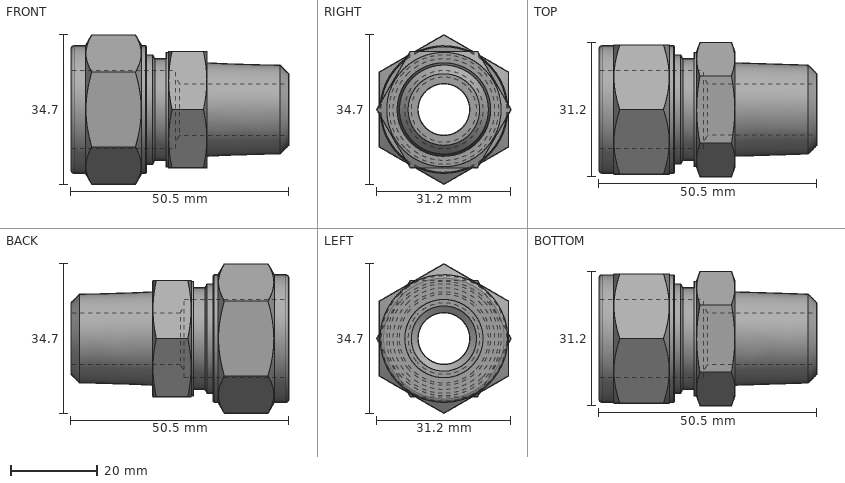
import cadquery as cq
import math

length = 50.5

nut_corners = 34.65
nut_collar_diameter = 29.6
nut_hex_start = 3.4
nut_hex_end = 16.4
nut_end = 17.6
nut_edge_fillet = 0.8
nut_rear_chamfer = 0.25
nut_chamfer_angle = 30.0

shoulder_diameter = 25.35
shoulder_end = 19.45
shoulder_chamfer_length = 0.5
neck_diameter = 23.6

body_corners = 31.15
flange_diameter = 26.5
flange_start = 22.05
body_hex_start = 22.6
body_hex_end = 31.55
body_chamfer_angle = 20.0

pipe_root_diameter = 21.65
pipe_tip_chamfer = 2.0
pipe_taper = 1 / 16

socket_diameter = 18.15
socket_depth = 24.25
cone_mouth_diameter = 15.1
bore_diameter = 11.9
cone_half_angle = 60.0


def revolve_about_x(profile):
    """Revolve a closed list of (x, radius) points about the X axis."""
    return cq.Workplane("XY").polyline(profile).close().revolve(360, (0, 0, 0), (1, 0, 0))


def cylinder(start, end, diameter):
    return cq.Workplane("YZ", origin=(start, 0, 0)).circle(diameter / 2).extrude(end - start)


def chamfered_hex(start, end, corners, face_diameter, chamfer_angle, turn):
    """Hexagon along X whose corners are cut back by a cone at both ends."""
    prism = (
        cq.Workplane("YZ", origin=(start, 0, 0))
        .transformed(rotate=(0, 0, turn))
        .polygon(6, corners)
        .extrude(end - start)
    )
    face_radius = face_diameter / 2
    corner_radius = corners / 2
    setback = (corner_radius - face_radius) * math.tan(math.radians(chamfer_angle))
    envelope = revolve_about_x([
        (start, 0),
        (start, face_radius),
        (start + setback, corner_radius),
        (end - setback, corner_radius),
        (end, face_radius),
        (end, 0),
    ])
    return prism.intersect(envelope)


def union_nut():
    collar = (
        cylinder(0, nut_end, nut_collar_diameter)
        .faces("<X").edges().fillet(nut_edge_fillet)
        .faces(">X").edges().chamfer(nut_rear_chamfer)
    )
    hexagon = chamfered_hex(
        nut_hex_start, nut_hex_end, nut_corners, nut_collar_diameter, nut_chamfer_angle, turn=90
    )
    return collar.union(hexagon)


def neck():
    return revolve_about_x([
        (nut_hex_end, 0),
        (nut_hex_end, shoulder_diameter / 2),
        (shoulder_end - shoulder_chamfer_length, shoulder_diameter / 2),
        (shoulder_end, neck_diameter / 2),
        (flange_start, neck_diameter / 2),
        (flange_start, 0),
    ])


def body_hex():
    flange = cylinder(flange_start, body_hex_end, flange_diameter)
    hexagon = chamfered_hex(
        body_hex_start, body_hex_end, body_corners, flange_diameter, body_chamfer_angle, turn=0
    )
    return flange.union(hexagon)


def pipe_end():
    chamfer_start = length - pipe_tip_chamfer
    root_radius = pipe_root_diameter / 2
    tip_radius = root_radius - (chamfer_start - body_hex_end) * pipe_taper / 2
    return revolve_about_x([
        (body_hex_end, 0),
        (body_hex_end, root_radius),
        (chamfer_start, tip_radius),
        (length, tip_radius - pipe_tip_chamfer),
        (length, 0),
    ])


def bore():
    """Tube socket with a flat seat, a conical lead-in and the through bore."""
    cone_drop = (cone_mouth_diameter - bore_diameter) / 2
    cone_length = cone_drop / math.tan(math.radians(cone_half_angle))
    return revolve_about_x([
        (0, 0),
        (0, socket_diameter / 2),
        (socket_depth, socket_diameter / 2),
        (socket_depth, cone_mouth_diameter / 2),
        (socket_depth + cone_length, bore_diameter / 2),
        (length, bore_diameter / 2),
        (length, 0),
    ])


result = union_nut().union(neck()).union(body_hex()).union(pipe_end()).cut(bore())